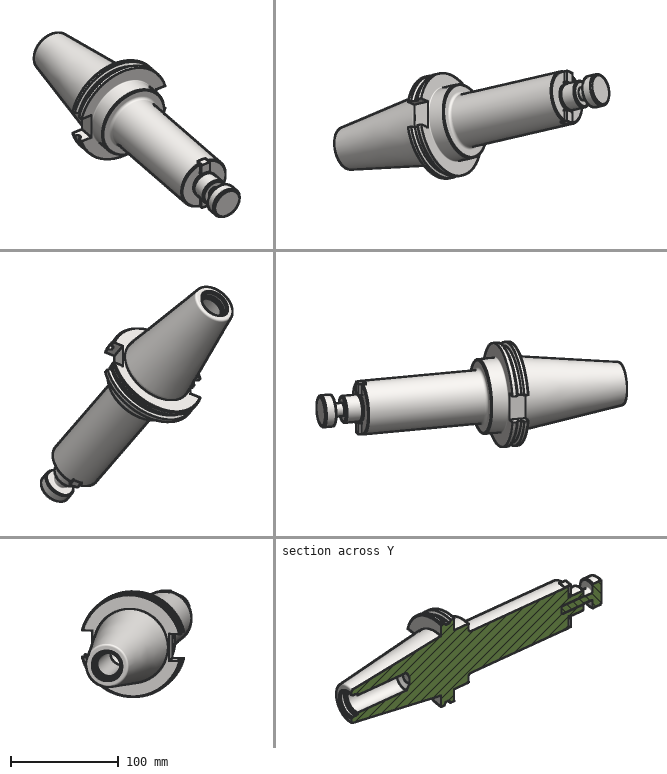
import cadquery as cq
import math

GAUGE_D = 70.0
TAPER_LENGTH = 101.5
TAPER_RATIO = 7 / 24
TAPER_END_D = GAUGE_D - TAPER_LENGTH * TAPER_RATIO
TAPER_END_FILLET = 2.0

FLANGE_START = 104.5
FLANGE_END = 120.3
FLANGE_D = 97.5
FLANGE_EDGE_CHAMFER = 1.0

V_GROOVE_CENTER = 112.5
V_GROOVE_FLOOR_WIDTH = 3.5
V_GROOVE_DEPTH = 3.2
V_GROOVE_WALL_ANGLE = 30

DRIVE_SLOT_WIDTH = 25.5
DRIVE_SLOT_FLOOR_BY_SIDE = {-1: 36.0, 1: 37.2}

COLLAR_END = 137.2
COLLAR_CHAMFER = 1.0
COLLAR_ROOT_FILLET = 1.0

ARBOR_D = 50.0
ARBOR_END = 254.0
ARBOR_CHAMFER = 1.0
ARBOR_ROOT_FILLET = 2.5

PILOT_D = 25.5
PILOT_END = 271.5
PILOT_CHAMFER = 1.2
PILOT_RELIEF_D = 24.3
PILOT_RELIEF_LENGTH = 2.0

BORE_MOUTH_D = 29.0
COUNTERBORE_D = 26.3
COUNTERBORE_DEPTH = 5.0
BORE_STEP_D = 25.5
BORE_STEP_DEPTH = 7.3
BORE_D = 22.0
BORE_DEPTH = 64.5
BORE_FLOOR_D = 10.5
BORE_CONE_ANGLE = 59

KEY_START = 249.5
KEY_END = 257.0
KEY_WIDTH = 9.0
KEY_INNER = 13.8
KEY_OUTER = 24.5
KEY_EDGE_CHAMFER = 0.45

SHANK_D = 12.5
SHANK_START = 245.8
HEAD_D = 30.0
HEAD_START = 281.5
HEAD_END = 292.5
HEAD_BACK_CHAMFER = 1.0
HEAD_FRONT_CHAMFER = 1.5
HEAD_ROOT_FILLET = 1.0


def revolve_about_x(profile):
    return profile.close().revolve(360, (0, 0, 0), (1, 0, 0))


def cylinder(start, end, diameter):
    return cq.Workplane("YZ", origin=(start, 0, 0)).circle(diameter / 2).extrude(end - start)


def taper():
    end_r = TAPER_END_D / 2
    gauge_r = GAUGE_D / 2
    body = revolve_about_x(
        cq.Workplane("XY")
        .lineTo(0, end_r)
        .lineTo(TAPER_LENGTH, gauge_r)
        .lineTo(FLANGE_START, gauge_r)
        .lineTo(FLANGE_START, 0)
    )
    return body.faces("<X").edges().fillet(TAPER_END_FILLET)


def v_groove():
    floor_r = FLANGE_D / 2 - V_GROOVE_DEPTH
    half_floor = V_GROOVE_FLOOR_WIDTH / 2
    half_mouth = half_floor + V_GROOVE_DEPTH * math.tan(math.radians(V_GROOVE_WALL_ANGLE))
    return revolve_about_x(
        cq.Workplane("XY")
        .moveTo(V_GROOVE_CENTER - half_mouth, FLANGE_D / 2)
        .lineTo(V_GROOVE_CENTER - half_floor, floor_r)
        .lineTo(V_GROOVE_CENTER + half_floor, floor_r)
        .lineTo(V_GROOVE_CENTER + half_mouth, FLANGE_D / 2)
    )


def flange():
    body = cylinder(FLANGE_START, FLANGE_END, FLANGE_D)
    body = body.faces("<X").edges().chamfer(FLANGE_EDGE_CHAMFER)
    body = body.cut(v_groove())
    slot_length = FLANGE_END - FLANGE_START
    for side, floor in DRIVE_SLOT_FLOOR_BY_SIDE.items():
        slot_depth = FLANGE_D / 2 - floor
        slot = cq.Workplane("XY").box(slot_length, slot_depth, DRIVE_SLOT_WIDTH)
        slot_y = side * (floor + slot_depth / 2)
        body = body.cut(slot.translate((FLANGE_START + slot_length / 2, slot_y, 0)))
    return body


def collar_and_arbor():
    collar_r = GAUGE_D / 2
    arbor_r = ARBOR_D / 2
    return revolve_about_x(
        cq.Workplane("XY")
        .moveTo(FLANGE_END, 0)
        .lineTo(FLANGE_END, collar_r + COLLAR_ROOT_FILLET)
        .radiusArc((FLANGE_END + COLLAR_ROOT_FILLET, collar_r), -COLLAR_ROOT_FILLET)
        .lineTo(COLLAR_END - COLLAR_CHAMFER, collar_r)
        .lineTo(COLLAR_END, collar_r - COLLAR_CHAMFER)
        .lineTo(COLLAR_END, arbor_r + ARBOR_ROOT_FILLET)
        .radiusArc((COLLAR_END + ARBOR_ROOT_FILLET, arbor_r), -ARBOR_ROOT_FILLET)
        .lineTo(ARBOR_END - ARBOR_CHAMFER, arbor_r)
        .lineTo(ARBOR_END, arbor_r - ARBOR_CHAMFER)
        .lineTo(ARBOR_END, 0)
    )


def pilot():
    relief = cylinder(ARBOR_END, ARBOR_END + PILOT_RELIEF_LENGTH, PILOT_RELIEF_D)
    nose = cylinder(ARBOR_END + PILOT_RELIEF_LENGTH, PILOT_END, PILOT_D)
    return relief.union(nose.faces(">X").edges().chamfer(PILOT_CHAMFER))


def bore():
    cone_length = (BORE_D - BORE_FLOOR_D) / 2 / math.tan(math.radians(BORE_CONE_ANGLE))
    mouth_chamfer = (BORE_MOUTH_D - COUNTERBORE_D) / 2
    return revolve_about_x(
        cq.Workplane("XY")
        .lineTo(0, BORE_MOUTH_D / 2)
        .lineTo(mouth_chamfer, COUNTERBORE_D / 2)
        .lineTo(COUNTERBORE_DEPTH, COUNTERBORE_D / 2)
        .lineTo(COUNTERBORE_DEPTH, BORE_STEP_D / 2)
        .lineTo(BORE_STEP_DEPTH, BORE_STEP_D / 2)
        .lineTo(BORE_STEP_DEPTH, BORE_D / 2)
        .lineTo(BORE_DEPTH, BORE_D / 2)
        .lineTo(BORE_DEPTH + cone_length, BORE_FLOOR_D / 2)
        .lineTo(BORE_DEPTH + cone_length, 0)
    )


def make_drive_key(side):
    height = KEY_OUTER - KEY_INNER
    key = cq.Workplane("XY").box(KEY_END - KEY_START, KEY_WIDTH, height)
    outer_face = ">Z" if side > 0 else "<Z"
    key = key.faces(outer_face).edges("|X").chamfer(KEY_EDGE_CHAMFER)
    return key.translate(((KEY_START + KEY_END) / 2, 0, side * (KEY_INNER + height / 2)))


def key_slot(side):
    depth = ARBOR_D / 2 - KEY_INNER
    length = ARBOR_END - KEY_START
    slot = cq.Workplane("XY").box(length, KEY_WIDTH, depth)
    return slot.translate((KEY_START + length / 2, 0, side * (KEY_INNER + depth / 2)))


def make_holder():
    body = taper().union(flange()).union(collar_and_arbor()).union(pilot())
    body = body.cut(bore())
    for side in (-1, 1):
        body = body.cut(key_slot(side))
    return body.cut(cylinder(SHANK_START, PILOT_END, SHANK_D))


def make_clamping_screw():
    head = cylinder(HEAD_START, HEAD_END, HEAD_D)
    head = head.faces("<X").edges().chamfer(HEAD_BACK_CHAMFER)
    head = head.faces(">X").edges().chamfer(HEAD_FRONT_CHAMFER)
    screw = cylinder(SHANK_START, HEAD_START, SHANK_D).union(head)
    head_back_face = cq.selectors.NearestToPointSelector((HEAD_START, HEAD_D / 4, HEAD_D / 4))
    root_edge = screw.faces(head_back_face).edges(cq.selectors.RadiusNthSelector(0))
    return root_edge.fillet(HEAD_ROOT_FILLET)


holder = make_holder()
drive_keys = [make_drive_key(side) for side in (-1, 1)]
clamping_screw = make_clamping_screw()

result = cq.Compound.makeCompound(
    [holder.val(), *[key.val() for key in drive_keys], clamping_screw.val()]
)